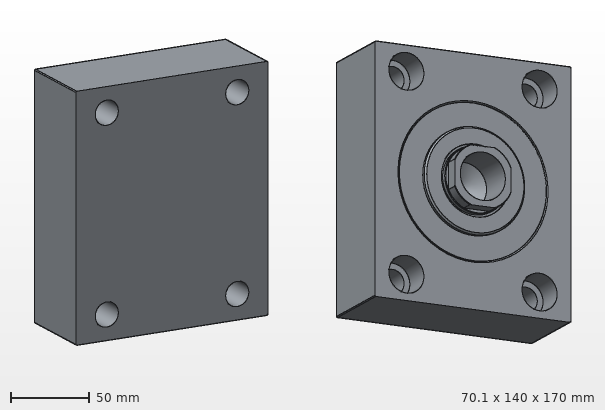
import cadquery as cq
import math

BLOCK_THICKNESS = 55.8
BLOCK_WIDTH = 140.0
BLOCK_HEIGHT = 170.0
BLOCK_CORNER_CHAMFER = 0.7

BOLT_SPACING_Y = 95.0
BOLT_SPACING_Z = 135.0
BOLT_HOLE_DIAMETER = 16.8
COUNTERBORE_DIAMETER = 25.0
COUNTERBORE_DEPTH = 20.4

POCKET_DEPTH = 34.0
GLAND_DIAMETER = 105.0
POCKET_CHAMFER = 1.0
BOSS_DIAMETER = 71.7
BOSS_HEIGHT = 3.4
BOSS_CHAMFER = 1.2
SEAL_RECESS_DIAMETER = 48.5
SEAL_RECESS_DEPTH = 1.7

ROD_DIAMETER = 45.0
ROD_PROTRUSION = 14.3
SHANK_PROTRUSION = 5.3
SHANK_CHAMFER = 0.5
ROD_END_DIAMETER = 43.9
ROD_END_CHAMFER = 0.3
FLATS_WIDTH = 40.0
ROD_BORE_DIAMETER = 32.1
ROD_BORE_DEPTH = 27.2
DRILL_POINT_ANGLE = 118.0


def disc(diameter, start_x, end_x):
    """Cylinder on the X axis between two X positions."""
    return cq.Workplane("YZ", origin=(start_x, 0, 0)).circle(diameter / 2).extrude(end_x - start_x)


def make_block():
    block = (
        cq.Workplane("YZ")
        .rect(BLOCK_WIDTH, BLOCK_HEIGHT)
        .extrude(BLOCK_THICKNESS)
        .edges("|X")
        .chamfer(BLOCK_CORNER_CHAMFER)
    )
    bolt_centres = cq.Workplane("YZ").rect(BOLT_SPACING_Y, BOLT_SPACING_Z, forConstruction=True).vertices()
    bolt_holes = bolt_centres.circle(BOLT_HOLE_DIAMETER / 2).extrude(BLOCK_THICKNESS)
    counterbores = bolt_centres.circle(COUNTERBORE_DIAMETER / 2).extrude(COUNTERBORE_DEPTH)
    pocket = disc(GLAND_DIAMETER, 0, POCKET_DEPTH)
    block = block.cut(bolt_holes).cut(counterbores).cut(pocket)
    pocket_rim = cq.selectors.RadiusNthSelector(-1)
    return block.faces("<X").edges(pocket_rim).chamfer(POCKET_CHAMFER)


def make_gland():
    boss = disc(BOSS_DIAMETER, -BOSS_HEIGHT, 0).faces("<X").edges().chamfer(BOSS_CHAMFER)
    rod_bore = disc(ROD_DIAMETER, -BOSS_HEIGHT, POCKET_DEPTH)
    seal_recess = disc(SEAL_RECESS_DIAMETER, -BOSS_HEIGHT, SEAL_RECESS_DEPTH - BOSS_HEIGHT)
    return disc(GLAND_DIAMETER, 0, POCKET_DEPTH).union(boss).cut(rod_bore).cut(seal_recess)


def make_rod_bore():
    """Blind bore from the rod tip, ending in a drill point."""
    radius = ROD_BORE_DIAMETER / 2
    point_depth = radius / math.tan(math.radians(DRILL_POINT_ANGLE / 2))
    floor_x = ROD_BORE_DEPTH - ROD_PROTRUSION
    return (
        cq.Workplane("XY")
        .moveTo(-ROD_PROTRUSION, 0)
        .lineTo(-ROD_PROTRUSION, radius)
        .lineTo(floor_x, radius)
        .lineTo(floor_x + point_depth, 0)
        .close()
        .revolve(360, (0, 0, 0), (1, 0, 0))
    )


def make_rod():
    shank = disc(ROD_DIAMETER, -SHANK_PROTRUSION, POCKET_DEPTH).faces("<X").edges().chamfer(SHANK_CHAMFER)
    rod_end = disc(ROD_END_DIAMETER, -ROD_PROTRUSION, -SHANK_PROTRUSION)
    rod_end = rod_end.faces("<X").edges().chamfer(ROD_END_CHAMFER)
    square_bar = (
        cq.Workplane("YZ", origin=(-ROD_PROTRUSION, 0, 0))
        .rect(FLATS_WIDTH, FLATS_WIDTH)
        .extrude(ROD_PROTRUSION - SHANK_PROTRUSION)
    )
    return shank.union(rod_end.intersect(square_bar)).cut(make_rod_bore())


block = make_block()
gland = make_gland()
rod = make_rod()

result = cq.Compound.makeCompound([block.val(), gland.val(), rod.val()])